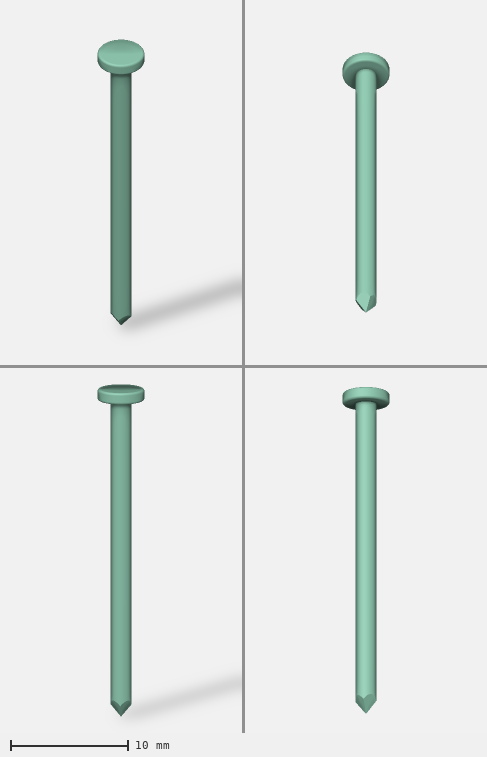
import cadquery as cq

total_length = 28.6
head_diameter = 4.0
head_thickness = 1.0
head_edge_radius = 0.2
shank_diameter = 1.8
point_height = 1.55

top_z = total_length / 2
head_bottom_z = top_z - head_thickness
apex_z = top_z - total_length


def make_head():
    """Flat disc head with both rims rounded."""
    disc = cq.Workplane("XY").workplane(offset=head_bottom_z)
    disc = disc.circle(head_diameter / 2).extrude(head_thickness)
    return disc.edges("%CIRCLE").fillet(head_edge_radius)


def make_shank():
    """Round shank reaching from the apex to the top of the head."""
    shank = cq.Workplane("XY").workplane(offset=apex_z)
    return shank.circle(shank_diameter / 2).extrude(total_length - head_edge_radius)


def wedge_envelope(plane):
    """Wedge-ended slab whose two sloping flats meet at the apex."""
    half_width = shank_diameter / 2
    shoulder_z = apex_z + point_height
    outline = [
        (0, apex_z),
        (half_width, shoulder_z),
        (half_width, top_z),
        (-half_width, top_z),
        (-half_width, shoulder_z),
    ]
    return cq.Workplane(plane).polyline(outline).close().extrude(half_width, both=True)


pointed_shank = make_shank()
for wedge_plane in ("XZ", "YZ"):
    pointed_shank = pointed_shank.intersect(wedge_envelope(wedge_plane))

result = make_head().union(pointed_shank)